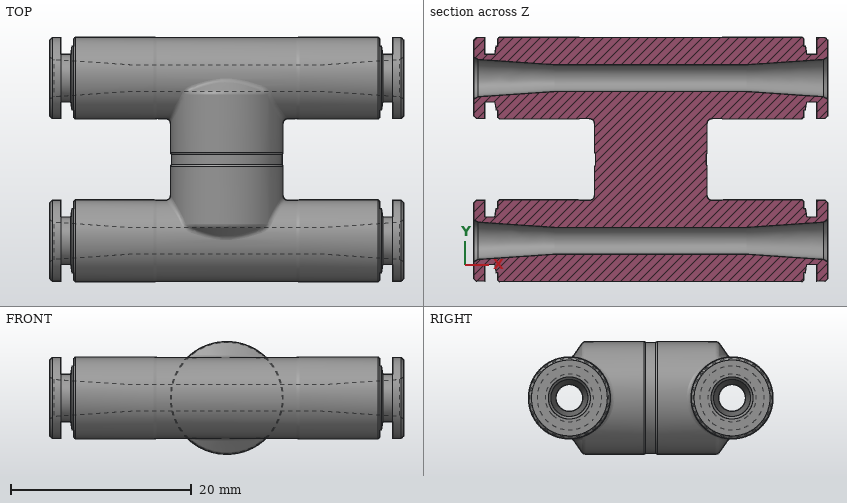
import cadquery as cq
import math

length = 39.2
run_pitch = 18.0

hub_radius = 6.25
hub_shoulder_y = 7.45
hub_cone_angle = 55.0
hub_cone_length = 1.75
hub_rim_fillet = 0.5
junction_fillet = 0.5
surface_tolerance = 0.01

band_depth = 0.1
band_outer_half_width = 0.75
band_inner_half_width = 0.55

run_radius = 4.5
sleeve_radius = 4.55
sleeve_inner_x = 8.05
sleeve_taper_length = 0.3
sleeve_outer_x = 16.95
sleeve_chamfer = 0.2

ring_radius = 3.55
ring_rim_height = 0.18
ring_neck_height = 0.32
neck_radius = 2.65
collar_radius = 4.5
collar_thickness = 1.25
collar_chamfer = 0.3

bore_radius = 1.47
mouth_radius = 2.33
mouth_chamfer_radius = 2.05
mouth_chamfer_depth = 0.5
mouth_cone_depth = 9.0

half_length = length / 2
sides = (-1, 1)


def revolve_about_x(points):
    return cq.Workplane("XY").polyline(points).close().revolve(360, (0, 0, 0), (1, 0, 0))


def make_hub():
    """Hub along Y with conical ends that sink into the runs."""
    cone_end_y = hub_shoulder_y + hub_cone_length
    cone_end_radius = hub_radius - hub_cone_length * math.tan(math.radians(hub_cone_angle))
    profile = [
        (0, -cone_end_y),
        (cone_end_radius, -cone_end_y),
        (hub_radius, -hub_shoulder_y),
        (hub_radius, hub_shoulder_y),
        (cone_end_radius, cone_end_y),
        (0, cone_end_y),
    ]
    hub = cq.Workplane("XY").polyline(profile).close().revolve(360, (0, 0, 0), (0, 1, 0))
    rims = cq.selectors.RadiusNthSelector(-1)
    return hub.edges("%CIRCLE").edges(rims).fillet(hub_rim_fillet)


def make_run_middle():
    """Plain middle stretch of the +Y run, between its two sleeves."""
    run = cq.Workplane("YZ").circle(run_radius).extrude(sleeve_inner_x, both=True)
    return run.translate((0, run_pitch / 2, 0))


def lies_on_run(edge):
    """True for the curved edges where the hub meets the surface of the +Y run."""
    if edge.geomType() in ("LINE", "CIRCLE"):
        return False
    middle = edge.positionAt(0.5)
    axis_distance = math.hypot(middle.y - run_pitch / 2, middle.z)
    return abs(axis_distance - run_radius) < surface_tolerance


def make_blended_quarter():
    """The +Y +Z quarter of the hub and run, blended along the edges where they meet."""
    quarter_space = cq.Workplane("XY").box(length, length, length, centered=(True, False, False))
    quarter = make_hub().union(make_run_middle()).intersect(quarter_space)
    return quarter.edges().filter(lies_on_run).fillet(junction_fillet)


def mirror_quarter(quarter):
    """Complete a body from its +Y +Z quarter."""
    whole = quarter
    for plane in ("XY", "XZ"):
        whole = whole.union(whole.mirror(plane))
    return whole.clean()


def make_band_groove():
    """Ring cut away to form the hub's shallow band with sloping sides."""
    band_radius = hub_radius - band_depth
    profile = [
        (hub_radius, -band_outer_half_width),
        (band_radius, -band_inner_half_width),
        (band_radius, band_inner_half_width),
        (hub_radius, band_outer_half_width),
    ]
    return cq.Workplane("XY").polyline(profile).close().revolve(360, (0, 0, 0), (0, 1, 0))


def make_end():
    """Sleeve, face ring, neck and collar at the +X end of a run centred on the X axis."""
    collar_x = half_length - collar_thickness
    profile = [
        (sleeve_inner_x - sleeve_taper_length, 0),
        (sleeve_inner_x - sleeve_taper_length, run_radius),
        (sleeve_inner_x, sleeve_radius),
        (sleeve_outer_x - sleeve_chamfer, sleeve_radius),
        (sleeve_outer_x, sleeve_radius - sleeve_chamfer),
        (sleeve_outer_x, ring_radius),
        (sleeve_outer_x + ring_rim_height, ring_radius),
        (sleeve_outer_x + ring_neck_height, neck_radius),
        (collar_x, neck_radius),
        (collar_x, collar_radius),
        (half_length - collar_chamfer, collar_radius),
        (half_length, collar_radius - collar_chamfer),
        (half_length, 0),
    ]
    return revolve_about_x(profile)


def make_bore():
    """Through bore with a chamfered, tapering mouth at each end."""
    chamfer_x = half_length - mouth_chamfer_depth
    cone_x = half_length - mouth_cone_depth
    profile = [
        (-half_length, 0),
        (-half_length, mouth_radius),
        (-chamfer_x, mouth_chamfer_radius),
        (-cone_x, bore_radius),
        (cone_x, bore_radius),
        (chamfer_x, mouth_chamfer_radius),
        (half_length, mouth_radius),
        (half_length, 0),
    ]
    return revolve_about_x(profile)


body = mirror_quarter(make_blended_quarter())
body = body.cut(make_band_groove())

right_end = make_end()
left_end = right_end.mirror("YZ")
bore = make_bore()
for side in sides:
    run_offset = (0, side * run_pitch / 2, 0)
    body = body.union(right_end.translate(run_offset))
    body = body.union(left_end.translate(run_offset))
    body = body.cut(bore.translate(run_offset))

result = body